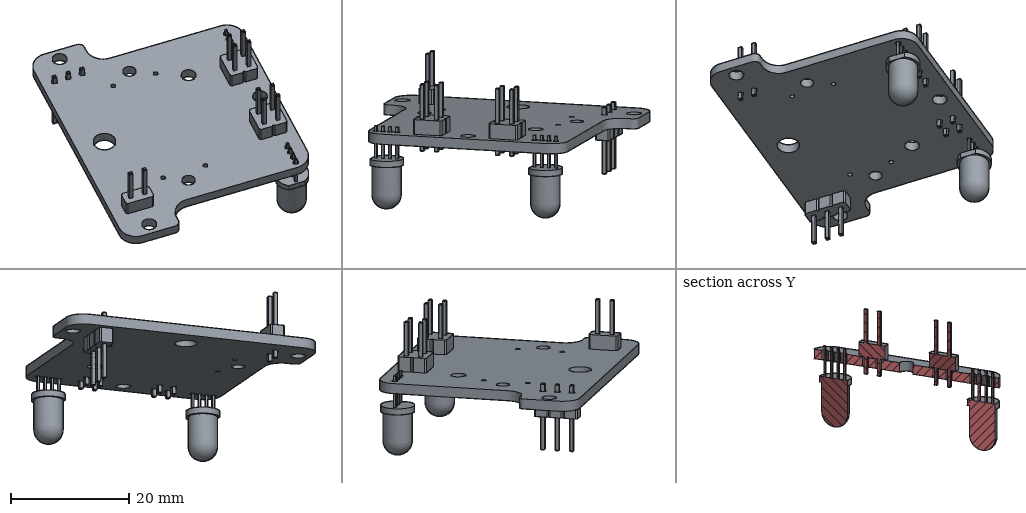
import cadquery as cq

BOARD_WIDTH = 45.1
BOARD_DEPTH = 36.2
BOARD_THICKNESS = 1.75
NECK_WIDTH = 35.2
EAR_DEPTH = 9.95
OUTLINE_RADIUS = 3.0
EAR_RADIUS = 1.0

PITCH = 2.53
HEADER_HEIGHT = PITCH
HEADER_CHAMFER = 0.25
PIN_SIDE = 0.65
PIN_TAIL = 1.3
PIN_LENGTH = 11.6
PIN_TIP = 0.15
PIN_HOLE_DIAMETER = 1.0

BACK_ROW_Y = 33.4
SQUARE_HEADER_XS = (-6.5, 6.85)
SQUARE_HEADER_Y = BACK_ROW_Y - PITCH / 2
FRONT_HEADER_Y = 4.83
PAIR_HEADER_X = 15.7
TRIPLE_HEADER_X = -16.0

LED_XS = (-13.65, 14.5)
LED_DIAMETER = 5.0
LED_FLANGE_DIAMETER = 5.77
LED_FLANGE_HEIGHT = 1.1
LED_TOP_Z = -2.9
LED_BODY_LENGTH = 6.2
LEAD_COUNT = 4
LEAD_PITCH = PITCH / 2
LEAD_SIDE = 0.4
LEAD_TIP = 0.8
LEAD_HOLE_DIAMETER = 0.9

MOUNT_DIAMETER = 2.5
FRONT_HOLES_Y = 5.05
EAR_HOLE_X = 20.53
OFFSET_HOLE = (-9.0, 23.95)
MOUNT_POINTS = [
    (-EAR_HOLE_X, FRONT_HOLES_Y),
    (EAR_HOLE_X, FRONT_HOLES_Y),
    (0, BACK_ROW_Y),
    OFFSET_HOLE,
]
CENTRE_DIAMETER = 3.8
SIDE_DIAMETER = 2.2
SIDE_X = 13.55
SIDE_Y = 14.98
SMALL_DIAMETER = 0.75
SMALL_X = 11.4
SMALL_YS = (11.2, 18.9)


def centred(count, step):
    """Positions of `count` items spaced by `step`, centred on zero."""
    return [(i - (count - 1) / 2) * step for i in range(count)]


def pin_grid(columns, rows):
    """Pin positions of a header with its columns along X and its rows along Y."""
    return [(x, y) for x in centred(columns, PITCH) for y in centred(rows, PITCH)]


SQUARE_PINS = pin_grid(2, 2)
PAIR_PINS = pin_grid(1, 2)
TRIPLE_PINS = pin_grid(1, 3)
LED_LEADS = [(x, 0) for x in centred(LEAD_COUNT, LEAD_PITCH)]


def shifted(points, x, y):
    """The points moved by (x, y)."""
    return [(px + x, py + y) for px, py in points]


def make_slab(width, depth):
    """Plain plate of board thickness whose -Y edge lies on the X axis."""
    return cq.Workplane("XY").box(width, depth, BOARD_THICKNESS, centered=(True, False, False))


def round_corners(board, width, y, radius):
    """Round the two upright edges at (+-width/2, y)."""
    reach = BOARD_THICKNESS / 2
    for x in (-width / 2, width / 2):
        near_corner = cq.selectors.BoxSelector(
            (x - reach, y - reach, 0), (x + reach, y + reach, BOARD_THICKNESS)
        )
        board = board.edges("|Z").edges(near_corner).fillet(radius)
    return board


def drill(board, points, diameter):
    """Drill a hole of one diameter through the board at each point."""
    drills = cq.Workplane("XY").pushPoints(points).circle(diameter / 2).extrude(BOARD_THICKNESS)
    return board.cut(drills)


def make_board():
    """Board with two front ears, rounded corners and every hole drilled through."""
    board = make_slab(BOARD_WIDTH, EAR_DEPTH).union(make_slab(NECK_WIDTH, BOARD_DEPTH)).clean()
    board = round_corners(board, BOARD_WIDTH, 0, OUTLINE_RADIUS)
    board = round_corners(board, NECK_WIDTH, BOARD_DEPTH, OUTLINE_RADIUS)
    board = round_corners(board, NECK_WIDTH, EAR_DEPTH, OUTLINE_RADIUS)
    board = round_corners(board, BOARD_WIDTH, EAR_DEPTH, EAR_RADIUS)

    board = drill(board, MOUNT_POINTS, MOUNT_DIAMETER)
    board = drill(board, [(0, FRONT_HOLES_Y)], CENTRE_DIAMETER)
    board = drill(board, [(-SIDE_X, SIDE_Y), (SIDE_X, SIDE_Y)], SIDE_DIAMETER)
    board = drill(board, [(x, y) for x in (-SMALL_X, SMALL_X) for y in SMALL_YS], SMALL_DIAMETER)

    board = drill(board, shifted(PAIR_PINS, PAIR_HEADER_X, FRONT_HEADER_Y), PIN_HOLE_DIAMETER)
    board = drill(board, shifted(TRIPLE_PINS, TRIPLE_HEADER_X, FRONT_HEADER_Y), PIN_HOLE_DIAMETER)
    for x in SQUARE_HEADER_XS:
        board = drill(board, shifted(SQUARE_PINS, x, SQUARE_HEADER_Y), PIN_HOLE_DIAMETER)
    for x in LED_XS:
        board = drill(board, shifted(LED_LEADS, x, BACK_ROW_Y), LEAD_HOLE_DIAMETER)
    return board


def make_header(columns, rows):
    """Header standing on the board's top face: chamfered rows of plastic around square pins."""
    row = (
        cq.Workplane("XY")
        .box(columns * PITCH, PITCH, HEADER_HEIGHT, centered=(True, True, False))
        .edges("|Z")
        .chamfer(HEADER_CHAMFER)
        .translate((0, 0, BOARD_THICKNESS))
    )
    pin = (
        cq.Workplane("XY")
        .box(PIN_SIDE, PIN_SIDE, PIN_LENGTH, centered=(True, True, False))
        .faces("<Z or >Z")
        .chamfer(PIN_TIP)
        .translate((0, 0, -PIN_TAIL))
    )
    header = cq.Workplane("XY")
    for y in centred(rows, PITCH):
        header = header.union(row.translate((0, y, 0)))
    for x, y in pin_grid(columns, rows):
        header = header.union(pin.translate((x, y, 0)))
    return header


def make_led():
    """LED hanging under the board: flange with one flat, domed body and four leads."""
    radius = LED_DIAMETER / 2
    body = (
        cq.Workplane("XZ")
        .lineTo(radius, 0)
        .lineTo(radius, -LED_BODY_LENGTH)
        .radiusArc((0, -LED_BODY_LENGTH - radius), radius)
        .close()
        .revolve(360, (0, 0, 0), (0, 1, 0))
    )
    flat = (
        cq.Workplane("XY")
        .box(LED_DIAMETER, LED_FLANGE_DIAMETER, LED_FLANGE_HEIGHT, centered=(False, True, False))
        .translate((radius, 0, -LED_FLANGE_HEIGHT))
    )
    flange = cq.Workplane("XY").circle(LED_FLANGE_DIAMETER / 2).extrude(-LED_FLANGE_HEIGHT).cut(flat)
    leads = (
        cq.Workplane("XY")
        .pushPoints(LED_LEADS)
        .rect(LEAD_SIDE, LEAD_SIDE)
        .extrude(BOARD_THICKNESS + LEAD_TIP - LED_TOP_Z)
    )
    return body.union(flange).union(leads).translate((0, 0, LED_TOP_Z))


board = make_board()

square_header = make_header(2, 2)
square_headers = [square_header.translate((x, SQUARE_HEADER_Y, 0)) for x in SQUARE_HEADER_XS]

pair_header = (
    make_header(2, 1)
    .rotate((0, 0, 0), (0, 0, 1), 90)
    .translate((PAIR_HEADER_X, FRONT_HEADER_Y, 0))
)

triple_header = (
    make_header(1, 3)
    .rotate((0, 0, BOARD_THICKNESS / 2), (0, 1, BOARD_THICKNESS / 2), 180)
    .translate((TRIPLE_HEADER_X, FRONT_HEADER_Y, 0))
)

led = make_led()
leds = [led.translate((x, BACK_ROW_Y, 0)) for x in LED_XS]

bodies = [board, *square_headers, pair_header, triple_header, *leds]
result = cq.Compound.makeCompound([body.val() for body in bodies])